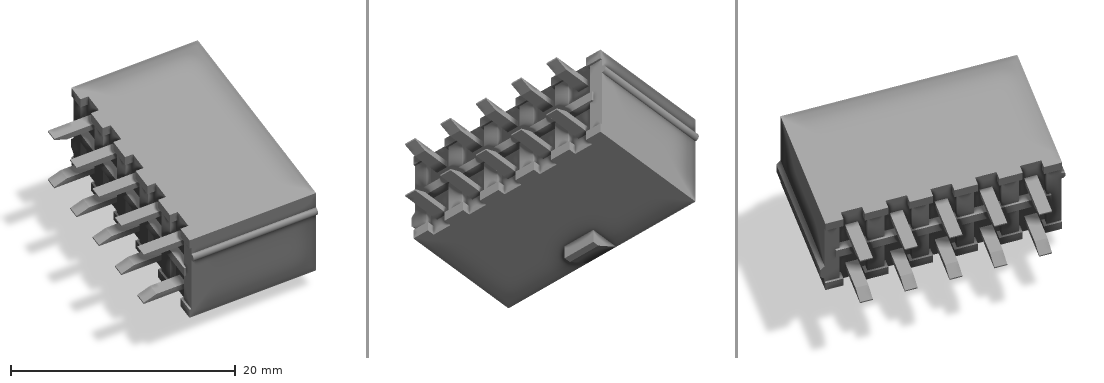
import cadquery as cq

housing_width = 22.2
housing_height = 9.6
housing_length = 12.8

rib_setback = 0.2
channel_depth = 0.8
channel_width = 2.6
mouth_width = 2.0
block_height = 1.0
crossbar_width = 20.2
crossbar_height = 1.0

pin_count = 5
pin_pitch = 4.2
pin_width = 1.2
pin_thickness = 0.65
pin_tip_thickness = 0.15
pin_projection = 3.5
pin_taper_length = 1.3
upper_pin_outer_z = 2.87
lower_pin_outer_z = -3.27

rail_projection = 0.4
rail_base_height = 1.8
rail_crest_height = 1.0
rail_center_z = -2.5
round_rail_center_z = 2.64

latch_width = 3.4
latch_height = 1.4
latch_length = 3.1
latch_crest_length = 0.7

front_y = -housing_length
rib_y = front_y + rib_setback
floor_y = front_y + channel_depth
half_width = housing_width / 2
half_height = housing_height / 2
pin_columns = [(i - (pin_count - 1) / 2) * pin_pitch for i in range(pin_count)]
inner_height = housing_height - 2 * block_height


def box_between(width, height, y_front, y_back, x_center=0):
    """Box centred on Z = 0 that spans the two given Y planes."""
    return (
        cq.Workplane("XY")
        .box(width, y_back - y_front, height)
        .translate((x_center, (y_front + y_back) / 2, 0))
    )


def make_housing():
    """Block with the ribs set back and a channel cut around each pin column."""
    body = box_between(housing_width, housing_height, front_y, 0)
    body = body.cut(box_between(housing_width, inner_height, front_y, rib_y))
    for x in pin_columns:
        body = body.cut(box_between(mouth_width, housing_height, front_y, floor_y, x))
        body = body.cut(box_between(channel_width, inner_height, front_y, floor_y, x))
    return body


def make_crossbar():
    """Bar across all channels, standing on the channel floors."""
    return box_between(crossbar_width, crossbar_height, front_y, floor_y)


def make_pin(x_center, outer_z, inward):
    """Flat pin from the channel floor; inward is the Z sign that points to the other row."""
    tip_y = front_y - pin_projection
    inner_z = outer_z + inward * pin_thickness
    profile = [
        (floor_y, outer_z),
        (tip_y, outer_z),
        (tip_y, outer_z + inward * pin_tip_thickness),
        (tip_y + pin_taper_length, inner_z),
        (floor_y, inner_z),
    ]
    pin = cq.Workplane("YZ").polyline(profile).close().extrude(pin_width / 2, both=True)
    return pin.translate((x_center, 0, 0))


def make_polarising_rail():
    """Trapezoidal rail along the -X side, from the end face to the rib plane."""
    crest_x = -half_width - rail_projection
    profile = [
        (-half_width, rail_center_z - rail_base_height / 2),
        (crest_x, rail_center_z - rail_crest_height / 2),
        (crest_x, rail_center_z + rail_crest_height / 2),
        (-half_width, rail_center_z + rail_base_height / 2),
    ]
    return cq.Workplane("XZ").polyline(profile).close().extrude(-rib_y)


def make_round_rail():
    """Half-round rail along the +X side; the inner half of the rod lies in the housing."""
    return (
        cq.Workplane("XZ")
        .center(half_width, round_rail_center_z)
        .circle(rail_projection)
        .extrude(-rib_y)
    )


def make_latch():
    """Wedge that ramps down from the end face to a short flat crest."""
    crest_z = -half_height - latch_height
    profile = [
        (0, -half_height),
        (-latch_length + latch_crest_length, crest_z),
        (-latch_length, crest_z),
        (-latch_length, -half_height),
    ]
    return cq.Workplane("YZ").polyline(profile).close().extrude(latch_width / 2, both=True)


result = make_housing().union(make_crossbar())
for column_x in pin_columns:
    result = result.union(make_pin(column_x, upper_pin_outer_z, -1))
    result = result.union(make_pin(column_x, lower_pin_outer_z, 1))
result = result.union(make_polarising_rail())
result = result.union(make_round_rail())
result = result.union(make_latch())